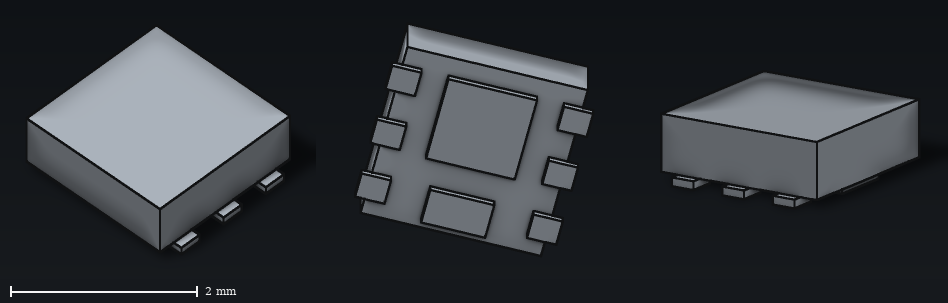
import cadquery as cq

overall_length = 2.23
body_side = 2.0
overall_height = 0.75
metal_thickness = 0.1

lead_length = 0.325
lead_width = 0.28
lead_pitch = 0.65

large_pad_length = 0.981
large_pad_front = -0.165
large_pad_back = lead_pitch + lead_width / 2
small_pad_length = 0.71
small_pad_front = -0.9
small_pad_back = -lead_pitch + lead_width / 2


def metal_block(x_min, x_max, y_min, y_max):
    """Flat block from the bottom plane up to the underside of the housing."""
    return cq.Workplane("XY").box(
        x_max - x_min, y_max - y_min, metal_thickness, centered=False
    ).translate((x_min, y_min, 0))


def make_housing():
    return (
        cq.Workplane("XY")
        .workplane(offset=metal_thickness)
        .rect(body_side, body_side)
        .extrude(overall_height - metal_thickness)
    )


def make_lead(side, row):
    """Lead on the -X (side = -1) or +X (side = 1) edge, row -1, 0 or 1 along Y."""
    x_center = side * (overall_length - lead_length) / 2
    y_center = row * lead_pitch
    return metal_block(
        x_center - lead_length / 2,
        x_center + lead_length / 2,
        y_center - lead_width / 2,
        y_center + lead_width / 2,
    )


def make_large_pad():
    return metal_block(-large_pad_length / 2, large_pad_length / 2, large_pad_front, large_pad_back)


def make_small_pad():
    return metal_block(-small_pad_length / 2, small_pad_length / 2, small_pad_front, small_pad_back)


housing = make_housing()
leads = [make_lead(side, row) for side in (-1, 1) for row in (-1, 0, 1)]
large_pad = make_large_pad()
small_pad = make_small_pad()

result = cq.Compound.makeCompound(
    [housing.val(), *[lead.val() for lead in leads], large_pad.val(), small_pad.val()]
)